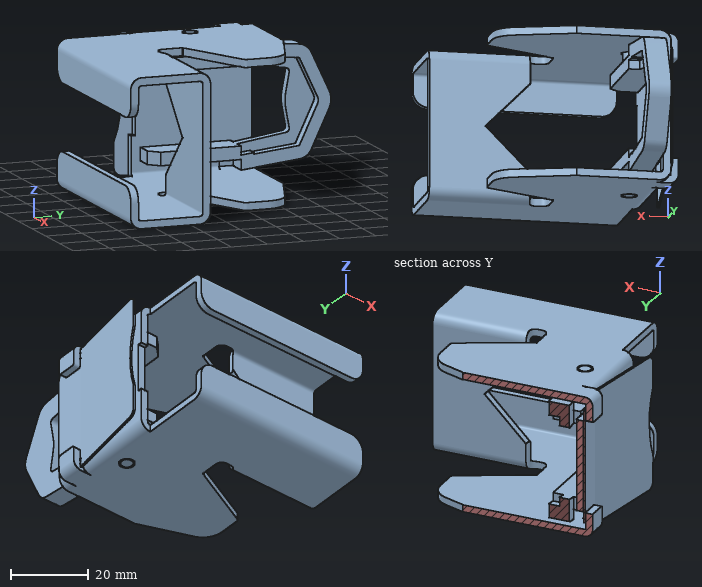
import cadquery as cq


SHEET = 2.1
BEND_RADIUS = 3.0
INNER_BEND_RADIUS = BEND_RADIUS - SHEET
HEIGHT = 40.0
HALF_HEIGHT = HEIGHT / 2
INNER_HALF_HEIGHT = HALF_HEIGHT - SHEET

RAIL_END_X = 57.0
RAIL_DEPTH = 22.1
LIP_GAP = 18.05
LIP_CORNER_RADIUS = 4.0
NOTCH_TIP_X = 42.1

HEAD_TOP_Y = 54.4
HEAD_SLOPE_START_X = 25.1
HEAD_TIP_X = 45.0
HEAD_TIP_TOP_Y = 47.4
HEAD_TIP_BOTTOM_Y = 36.25
HEAD_TIP_TOP_RADIUS = 6.6
HEAD_TIP_BOTTOM_RADIUS = 1.0
SLOT_LEFT_X = 25.1
SLOT_RIGHT_X = 30.2
SLOT_MID_X = (SLOT_LEFT_X + SLOT_RIGHT_X) / 2
SLOT_TOP_Y = 26.4
SLOT_BOTTOM_Y = 19.1
SLOT_RADIUS = 2.0

WEB_BOTTOM_Y = 20.9
WEB_NOTCH_WIDTH = 14.8
WEB_NOTCH_DEPTH = 1.2

TAB_BOTTOM_Y = 45.3
TAB_TOP_Y = 51.35
TAB_END_Z = 13.05
TAB_BEND_RADIUS = 2.4
TAB_CORNER_RADIUS = 0.7

SPRING_THICKNESS = 0.5
LEAF_ANGLE = 8.6
LEAF_BEND_Y = 45.1
LEAF_LENGTH = 26.9
LEAF_WIDTH = 38.0
LEAF_CORNER_RADIUS = 2.0
LEAF_HOLLOW_WIDTH = 19.5
LEAF_HOLLOW_DEPTH = 1.75
SPRING_TOP_Y = 54.1
SPRING_TOP_WIDTH = 32.3
SPRING_TOP_RADIUS = 2.6

LEVER_X = 4.0
LEVER_THICKNESS = 5.95
LEVER_MID_X = LEVER_X + LEVER_THICKNESS / 2
LEVER_WALL = 3.6
LEVER_BASE_Y = 48.4
LEVER_BASE_HALF_WIDTH = 16.95
LEVER_SHOULDER = (66.9, 15.0)
LEVER_SHOULDER_RADIUS = 4.0
LEVER_POINT_Y = 73.95
LEVER_TIP_RADIUS = 5.9
WINDOW_BASE_HALF_WIDTH = 10.6
WINDOW_CORNER = (63.0, 8.4)
WINDOW_CORNER_RADIUS = 1.0
WINDOW_CREST_Y = 61.5
WINDOW_CREST_RADIUS = 10.8
ARM_END_Y = 23.5
ARM_CHAMFER = 2.7
PIN_X = LEVER_MID_X
PIN_Y = 35.4
PIN_RADIUS = 1.7
PIN_HOLE_RADIUS = 2.05


def block(x0, x1, y0, y1, z0, z1):
    """Box between two corners."""
    return cq.Workplane("XY").box(x1 - x0, y1 - y0, z1 - z0, centered=False).translate((x0, y0, z0))


def round_edge(solid, point, radius):
    """Fillet the one edge whose middle is nearest to a point."""
    return solid.edges(cq.selectors.NearestToPointSelector(point)).fillet(radius)


def both_sides(solid):
    """The solid and its mirror image below Z = 0."""
    return [solid, solid.mirror("XY")]


def make_rails():
    """Solid bar with rounded long edges that becomes the two rails."""
    bar = block(BEND_RADIUS, RAIL_END_X, 0, RAIL_DEPTH, -HALF_HEIGHT, HALF_HEIGHT)
    return bar.edges("|X").fillet(BEND_RADIUS)


def make_head():
    """Solid block with the outline of the clamping jaws."""
    overlap_y = SLOT_BOTTOM_Y - BEND_RADIUS
    outline = [
        (BEND_RADIUS, overlap_y),
        (BEND_RADIUS, HEAD_TOP_Y),
        (HEAD_SLOPE_START_X, HEAD_TOP_Y),
        (HEAD_TIP_X, HEAD_TIP_TOP_Y),
        (HEAD_TIP_X, HEAD_TIP_BOTTOM_Y),
        (SLOT_LEFT_X, SLOT_TOP_Y),
        (SLOT_LEFT_X, RAIL_DEPTH),
        (SLOT_MID_X, RAIL_DEPTH),
        (SLOT_MID_X, overlap_y),
    ]
    head = cq.Workplane("XY").polyline(outline).close().extrude(HALF_HEIGHT, both=True)
    head = round_edge(head, (HEAD_TIP_X, HEAD_TIP_TOP_Y, 0), HEAD_TIP_TOP_RADIUS)
    head = round_edge(head, (HEAD_TIP_X, HEAD_TIP_BOTTOM_Y, 0), HEAD_TIP_BOTTOM_RADIUS)
    return round_edge(head, (SLOT_LEFT_X, SLOT_TOP_Y, 0), SLOT_RADIUS)


def make_web():
    """Solid block with the rounded edges and the notch of the web."""
    web = block(0, 2 * BEND_RADIUS, WEB_BOTTOM_Y, HEAD_TOP_Y, -HALF_HEIGHT, HALF_HEIGHT)
    web = web.edges("|Y and <X").fillet(BEND_RADIUS)
    notch = cq.Workplane("XY").box(2 * SHEET, 2 * WEB_NOTCH_DEPTH, WEB_NOTCH_WIDTH)
    return web.cut(notch.translate((0, WEB_BOTTOM_Y, 0)))


def make_cavity():
    """Space between the two flanges, around the back wall of the rails."""
    reach = HEAD_TOP_Y + RAIL_END_X
    cavity = block(SHEET, reach, SHEET, reach, -INNER_HALF_HEIGHT, INNER_HALF_HEIGHT)
    cavity = cavity.edges("(|Y and <X) or (|X and <Y)").fillet(INNER_BEND_RADIUS)
    wall = block(SLOT_MID_X, reach, RAIL_DEPTH - SHEET, RAIL_DEPTH, -HALF_HEIGHT, HALF_HEIGHT)
    cavity = cavity.cut(wall)
    for z in (-INNER_HALF_HEIGHT, INNER_HALF_HEIGHT):
        cavity = round_edge(cavity, (reach, RAIL_DEPTH - SHEET, z), INNER_BEND_RADIUS)
    return cavity


def make_tab():
    """Upper tab: runs out flat from the flange, then bends down over the spring."""
    inner_x = -SPRING_THICKNESS
    outer_x = inner_x - SHEET
    tab = (
        block(outer_x, BEND_RADIUS, TAB_BOTTOM_Y, TAB_TOP_Y, TAB_END_Z, HALF_HEIGHT)
        .edges("|Y and <X and >Z").fillet(TAB_BEND_RADIUS)
        .edges("|X and <Z").fillet(TAB_CORNER_RADIUS)
    )
    under = block(inner_x, BEND_RADIUS, TAB_BOTTOM_Y, TAB_TOP_Y, 0, INNER_HALF_HEIGHT)
    return tab.cut(under)


def make_bracket():
    bracket = make_rails().union(make_head()).union(make_web()).cut(make_cavity())

    slot = block(SLOT_LEFT_X, SLOT_RIGHT_X, SLOT_BOTTOM_Y, SLOT_TOP_Y, -HALF_HEIGHT, HALF_HEIGHT)
    bracket = bracket.cut(slot.edges("|Z and <Y").fillet(SLOT_RADIUS))

    lip_opening = (
        cq.Workplane("XY")
        .box(RAIL_END_X - BEND_RADIUS, 2 * SHEET, LIP_GAP)
        .translate(((RAIL_END_X + BEND_RADIUS) / 2, 0, 0))
    )
    bracket = bracket.cut(lip_opening)
    for x in (BEND_RADIUS, RAIL_END_X):
        for z in (-LIP_GAP / 2, LIP_GAP / 2):
            bracket = round_edge(bracket, (x, SHEET / 2, z), LIP_CORNER_RADIUS)

    notch_length = NOTCH_TIP_X - SLOT_MID_X
    notch = (
        cq.Workplane("XZ", origin=(0, RAIL_DEPTH, 0))
        .polyline([(SLOT_MID_X, -notch_length), (NOTCH_TIP_X, 0), (SLOT_MID_X, notch_length)])
        .close()
        .extrude(SHEET)
    )
    bracket = bracket.cut(notch)

    relief = block(0, BEND_RADIUS, TAB_BOTTOM_Y, TAB_TOP_Y, TAB_END_Z, HALF_HEIGHT)
    for opening in both_sides(relief):
        bracket = bracket.cut(opening)
    for tab in both_sides(make_tab()):
        bracket = bracket.union(tab)

    pin_holes = (
        cq.Workplane("XY", origin=(PIN_X, PIN_Y, 0))
        .circle(PIN_HOLE_RADIUS)
        .extrude(HALF_HEIGHT, both=True)
    )
    return bracket.cut(pin_holes)


def make_spring():
    """Flat strip under the tabs and a leaf that leans away from the web."""
    half_width = SPRING_TOP_WIDTH / 2
    strip = block(-SPRING_THICKNESS, 0, LEAF_BEND_Y, SPRING_TOP_Y, -half_width, half_width)
    strip = strip.edges("|X and >Y").fillet(SPRING_TOP_RADIUS)

    leaf_end_y = LEAF_BEND_Y - LEAF_LENGTH
    leaf = block(-SPRING_THICKNESS, 0, leaf_end_y, LEAF_BEND_Y, -LEAF_WIDTH / 2, LEAF_WIDTH / 2)
    leaf = leaf.edges("|X and <Y").fillet(LEAF_CORNER_RADIUS)
    hollow = (
        cq.Workplane("YZ")
        .moveTo(leaf_end_y, -LEAF_HOLLOW_WIDTH / 2)
        .threePointArc((leaf_end_y + LEAF_HOLLOW_DEPTH, 0), (leaf_end_y, LEAF_HOLLOW_WIDTH / 2))
        .close()
        .extrude(-SPRING_THICKNESS)
    )
    leaf = leaf.cut(hollow)
    leaf = leaf.rotate((0, LEAF_BEND_Y, 0), (0, LEAF_BEND_Y, 1), -LEAF_ANGLE)
    return strip.union(leaf)


def lever_prism(half_outline, x, depth):
    """Prism along X from the (Y, Z) points of the upper half of a symmetric outline, ending at its tip."""
    lower_half = [(y, -z) for y, z in half_outline[-2::-1]]
    return cq.Workplane("YZ", origin=(x, 0, 0)).polyline(half_outline + lower_half).close().extrude(depth)


def round_lever_prism(prism, x, corner, corner_radius, tip_y, tip_radius):
    """Round the two corners and the tip of a lever prism whose middle is at x."""
    y, z = corner
    prism = round_edge(prism, (x, y, z), corner_radius)
    prism = round_edge(prism, (x, y, -z), corner_radius)
    return round_edge(prism, (x, tip_y, 0), tip_radius)


def make_lever_ring():
    """Pointed handle: a front half with a window and a back half hollowed out to a rim."""
    outline = [(LEVER_BASE_Y, LEVER_BASE_HALF_WIDTH), LEVER_SHOULDER, (LEVER_POINT_Y, 0)]
    ring = round_lever_prism(
        lever_prism(outline, LEVER_X, LEVER_THICKNESS),
        LEVER_MID_X, LEVER_SHOULDER, LEVER_SHOULDER_RADIUS, LEVER_POINT_Y, LEVER_TIP_RADIUS,
    )

    half_depth = LEVER_THICKNESS / 2
    window_outline = [(LEVER_BASE_Y, WINDOW_BASE_HALF_WIDTH), WINDOW_CORNER, (WINDOW_CREST_Y, 0)]
    window = round_lever_prism(
        lever_prism(window_outline, LEVER_X, half_depth),
        LEVER_X + half_depth / 2, WINDOW_CORNER, WINDOW_CORNER_RADIUS, WINDOW_CREST_Y, WINDOW_CREST_RADIUS,
    )

    hollow = (
        ring.faces(">X").wires().toPending().workplane()
        .offset2D(-LEVER_WALL)
        .extrude(-half_depth, combine=False)
    )
    base_gap = hollow.translate((0, -LEVER_WALL, 0))
    return ring.cut(window).cut(hollow).cut(base_gap)


def make_lever():
    lever = make_lever_ring()
    arm = block(
        SHEET, LEVER_X + LEVER_THICKNESS, ARM_END_Y, LEVER_BASE_Y,
        WINDOW_BASE_HALF_WIDTH, WINDOW_BASE_HALF_WIDTH + LEVER_WALL,
    )
    arm = arm.edges("|Z and >X and <Y").chamfer(ARM_CHAMFER)
    pin = (
        cq.Workplane("XY", origin=(PIN_X, PIN_Y, WINDOW_BASE_HALF_WIDTH))
        .circle(PIN_RADIUS)
        .extrude(HALF_HEIGHT - WINDOW_BASE_HALF_WIDTH)
    )
    for side in both_sides(arm.union(pin)):
        lever = lever.union(side)
    return lever


bracket = make_bracket()
spring = make_spring()
lever = make_lever()

result = cq.Compound.makeCompound([body.solids().val() for body in (bracket, spring, lever)])